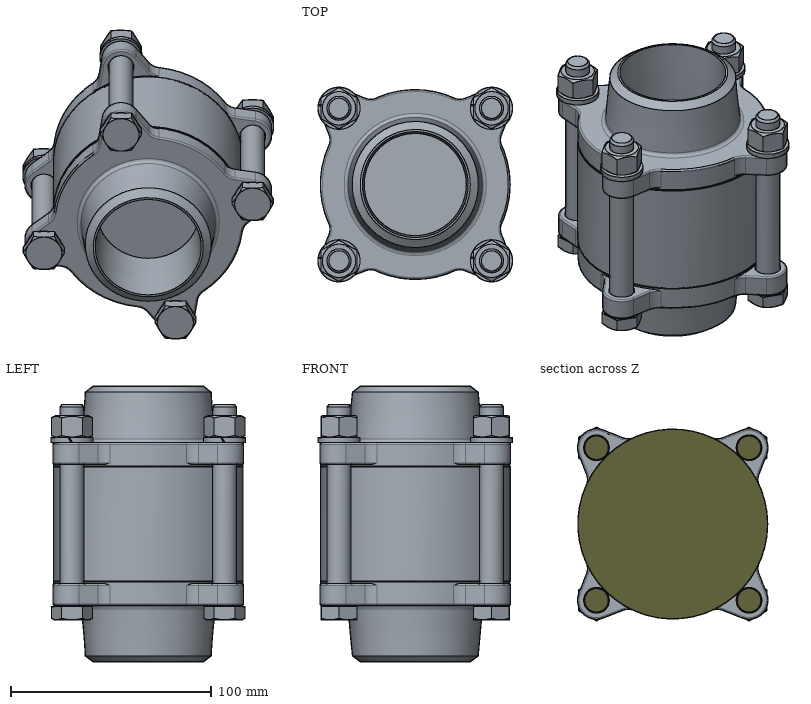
import cadquery as cq
import math

total_height = 137.8
mid_height = total_height / 2

body_diameter = 95.0
body_length = 57.0
joint_diameter = 93.7

flange_diameter = 94.7
flange_outer_z = 109.5
ear_thickness = 10.9
disc_thickness = 11.7
ear_radius = 9.5
ear_flare_angle = 23.6
ear_blend_radius = 7.7
flange_edge_radius = 0.8

neck_root_diameter = 67.5
neck_tip_diameter = 63.0
neck_rim_diameter = 55.0
neck_chamfer_height = 3.0
neck_root_fillet = 1.9
bore_mouth_diameter = 52.9
bore_floor_diameter = 51.0
bore_depth = 40.0

bolt_spacing = 76.2
bolt_offset = bolt_spacing / 2
bolt_diameter = 12.0
bolt_hole_diameter = 12.8
bolt_tip_z = 128.7
bolt_tip_diameter = 10.0
bolt_tip_chamfer_height = 1.4
hex_across_flats = 17.9
hex_chamfer_angle = 30
head_height = 6.6
head_face_diameter = 17.9
head_collar_height = 0.5
nut_height = 11.0
nut_face_diameter = 16.7

washer_diameter = 21.1
washer_thickness = 2.5
split_width = 0.7
split_top_shift = 1.5
split_bottom_shift = 0.0

ear_corner_angles = (45, 135, 225, 315)


def polar(radius, angle):
    """Point at a distance from the Z axis, with its angle in degrees."""
    a = math.radians(angle)
    return (radius * math.cos(a), radius * math.sin(a))


def rotated(point, angle):
    """Turn a point about the Z axis by an angle in degrees."""
    a = math.radians(angle)
    x, y = point
    return (x * math.cos(a) - y * math.sin(a), x * math.sin(a) + y * math.cos(a))


def cylinder(diameter, z_low, z_high):
    return cq.Workplane("XY").workplane(offset=z_low).circle(diameter / 2).extrude(z_high - z_low)


def revolved(profile):
    """Turn a closed list of (radius, z) points about the Z axis."""
    return cq.Workplane("XZ").polyline(profile).close().revolve(360, (0, 0), (0, 1))


def ear_plate():
    """Plate of four flared, round-ended ears whose sides blend tangentially into the flange disc.

    Straight edges join the ears, lying inside the disc.
    """
    disc_radius = flange_diameter / 2
    ear_distance = bolt_offset * math.sqrt(2)
    sin_flare = math.sin(math.radians(ear_flare_angle))
    cos_flare = math.cos(math.radians(ear_flare_angle))

    blend_to_side = ear_distance * sin_flare + ear_radius + ear_blend_radius
    blend_orbit = disc_radius + ear_blend_radius
    along_side = math.sqrt(blend_orbit**2 - blend_to_side**2)
    blend_x = blend_to_side * sin_flare + along_side * cos_flare
    blend_y = blend_to_side * cos_flare - along_side * sin_flare

    disc_facing = math.degrees(math.atan2(blend_y, blend_x)) + 180
    side_facing = 270 - ear_flare_angle
    middle_offset = polar(ear_blend_radius, (disc_facing + side_facing) / 2)

    tip = (ear_distance + ear_radius, 0)
    side_start = (ear_distance + ear_radius * sin_flare, ear_radius * cos_flare)
    side_end = (blend_x - ear_blend_radius * sin_flare, blend_y - ear_blend_radius * cos_flare)
    blend_middle = (blend_x + middle_offset[0], blend_y + middle_offset[1])
    disc_start = polar(disc_radius, disc_facing - 180)

    def mirrored(point):
        return (point[0], -point[1])

    outline = cq.Workplane("XY").moveTo(*rotated(mirrored(disc_start), ear_corner_angles[0]))
    for angle in ear_corner_angles:
        next_ear = rotated(mirrored(disc_start), angle + 90)
        outline = (
            outline.threePointArc(rotated(mirrored(blend_middle), angle), rotated(mirrored(side_end), angle))
            .lineTo(*rotated(mirrored(side_start), angle))
            .threePointArc(rotated(tip, angle), rotated(side_start, angle))
            .lineTo(*rotated(side_end, angle))
            .threePointArc(rotated(blend_middle, angle), rotated(disc_start, angle))
            .lineTo(*next_ear)
        )
    return outline.close().extrude(ear_thickness)


def end_piece():
    """Upper flange with its hollow neck and the four bolt holes through its ears."""
    ears = ear_plate().faces("<Z").edges().fillet(flange_edge_radius)
    ears = ears.translate((0, 0, flange_outer_z - ear_thickness))
    disc = cylinder(flange_diameter, flange_outer_z - disc_thickness, flange_outer_z)
    flange = ears.union(disc).faces(">Z").edges().fillet(flange_edge_radius)

    neck = revolved(
        [
            (0, flange_outer_z),
            (neck_root_diameter / 2, flange_outer_z),
            (neck_tip_diameter / 2, total_height - neck_chamfer_height),
            (neck_rim_diameter / 2, total_height),
            (0, total_height),
        ]
    )
    solid = flange.union(neck)
    around_root = 0.1
    reach = neck_root_diameter / 2 + around_root
    root_edge = cq.selectors.BoxSelector(
        (-reach, -reach, flange_outer_z - around_root),
        (reach, reach, flange_outer_z + around_root),
        boundingbox=True,
    )
    solid = solid.edges(root_edge).fillet(neck_root_fillet)

    bore_floor_z = total_height - bore_depth
    bore = revolved(
        [
            (0, bore_floor_z),
            (bore_floor_diameter / 2, bore_floor_z),
            (bore_mouth_diameter / 2, total_height),
            (0, total_height),
        ]
    )
    bolt_holes = (
        cq.Workplane("XY")
        .workplane(offset=flange_outer_z - ear_thickness)
        .rect(2 * bolt_offset, 2 * bolt_offset, forConstruction=True)
        .vertices()
        .circle(bolt_hole_diameter / 2)
        .extrude(ear_thickness)
    )
    return solid.cut(bore).cut(bolt_holes)


def hexagon(height, face_diameter):
    """Hexagonal prism with two corners on the Y axis and its upper corners chamfered by a cone."""
    across_corners = hex_across_flats / math.cos(math.radians(30))
    prism = cq.Workplane("XY").polygon(6, across_corners).extrude(height).rotate((0, 0, 0), (0, 0, 1), 90)
    face_radius = face_diameter / 2
    cone_drop = (across_corners - face_radius) * math.tan(math.radians(hex_chamfer_angle))
    envelope = revolved(
        [
            (0, 0),
            (across_corners, 0),
            (across_corners, height - cone_drop),
            (face_radius, height),
            (0, height),
        ]
    )
    return prism.intersect(envelope)


def flipped(shape, height):
    """Turn a shape upside down within its own height."""
    return shape.mirror("XY").translate((0, 0, height))


def split_washer():
    """Spring washer with a slanted split on its -X side."""
    split = (
        cq.Workplane("YZ")
        .polyline(
            [
                (split_bottom_shift - split_width / 2, 0),
                (split_bottom_shift + split_width / 2, 0),
                (split_top_shift + split_width / 2, washer_thickness),
                (split_top_shift - split_width / 2, washer_thickness),
            ]
        )
        .close()
        .extrude(-washer_diameter)
    )
    return cylinder(washer_diameter, 0, washer_thickness).cut(split)


def bolt():
    """Bolt on the Z axis with its head below the lower flange, a washer and a nut above the upper one."""
    head_seat_z = total_height - flange_outer_z
    tip_bevel_z = bolt_tip_z - bolt_tip_chamfer_height
    shank = revolved(
        [
            (0, head_seat_z),
            (bolt_diameter / 2, head_seat_z),
            (bolt_diameter / 2, tip_bevel_z),
            (bolt_tip_diameter / 2, bolt_tip_z),
            (0, bolt_tip_z),
        ]
    )
    head_top_z = head_seat_z - head_collar_height
    head = flipped(hexagon(head_height, head_face_diameter), head_height)
    head = head.translate((0, 0, head_top_z - head_height))
    collar = cylinder(hex_across_flats, head_top_z, head_seat_z)
    washer = split_washer().translate((0, 0, flange_outer_z))
    bevelled_nut = hexagon(nut_height, nut_face_diameter)
    nut = bevelled_nut.intersect(flipped(bevelled_nut, nut_height))
    nut = nut.translate((0, 0, flange_outer_z + washer_thickness))
    return shank.union(collar).union(head).union(washer).union(nut)


upper_end = end_piece()
lower_end = flipped(upper_end, total_height)

body = cylinder(body_diameter, mid_height - body_length / 2, mid_height + body_length / 2)
disc_inner_z = flange_outer_z - disc_thickness
joints = cylinder(joint_diameter, total_height - disc_inner_z, disc_inner_z)

result = body.union(joints).union(upper_end).union(lower_end)
for x in (-bolt_offset, bolt_offset):
    for y in (-bolt_offset, bolt_offset):
        result = result.union(bolt().translate((x, y, 0)))